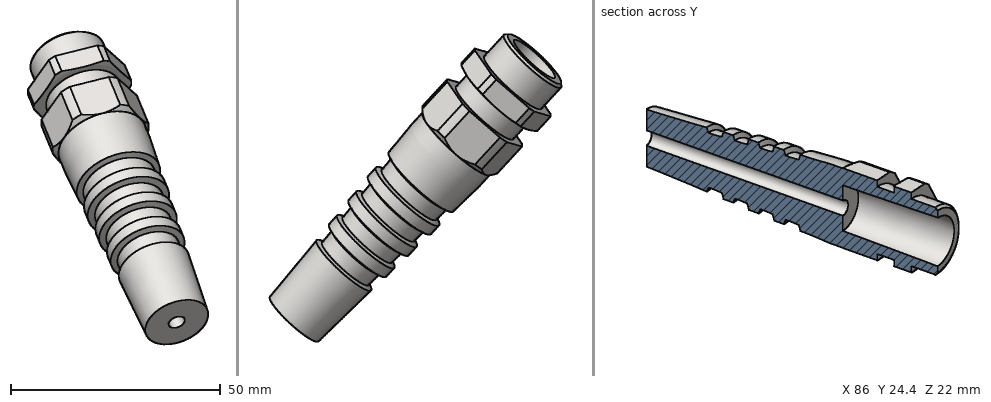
import cadquery as cq

length = 86.0

body_radius = 9.3
entry_chamfer = 0.7

collar_start = 7.7
collar_end = 13.0
collar_flats = 22.0
collar_corner_radius = 12.2
collar_bevel_length = 0.35

nut_start = 17.8
nut_end = 27.95
nut_flats = 22.0
nut_corner_radius = 12.0
nut_bevel_length = 1.2

shoulder_diameter = 21.9
shoulder_taper_start = 32.1
shoulder_end = 41.1
shoulder_end_radius = 10.5
flank_length = 0.5

rib_count = 3
first_rib_start = 44.9
rib_pitch = 7.5
rib_width = 3.95
first_rib_radius = 10.2
rib_radius_step = 0.47
first_groove_radius = 9.0
groove_radius_step = 0.4
groove_taper = 0.2

tail_start = 67.7
tail_start_radius = 8.9
tail_end_radius = 7.9

bore_mouth_radius = 6.6
bore_floor_radius = 6.2
bore_depth = nut_end
cable_hole_diameter = 4.0


def revolve_about_x(points):
    """Revolve an (x, radius) outline about the X axis."""
    return cq.Workplane("XY").polyline(points).close().revolve(360, (0, 0, 0), (1, 0, 0))


def hexagon(start, end, flats, corner_radius, bevel_length):
    """Hexagonal prism with turned corners and a bevel at its far end; flats face +Z and -Z."""
    corners_to_y = 30
    prism = (
        cq.Workplane("YZ")
        .workplane(offset=start)
        .polygon(6, flats, circumscribed=True)
        .extrude(end - start)
        .rotate((0, 0, 0), (1, 0, 0), corners_to_y)
    )
    turned_blank = revolve_about_x(
        [
            (start, 0),
            (start, corner_radius),
            (end - bevel_length, corner_radius),
            (end, flats / 2),
            (end, 0),
        ]
    )
    return prism.intersect(turned_blank)


def groove_points(index, start, end):
    """Slightly tapered groove floor, with index 0 nearest the nut."""
    radius = first_groove_radius - index * groove_radius_step
    return [(start, radius), (end, radius - groove_taper)]


def rib_points(index):
    """Flat top of a rib; its flanks slope down to the neighbouring grooves."""
    start = first_rib_start + index * rib_pitch
    end = start + rib_width
    radius = first_rib_radius - index * rib_radius_step
    return [
        (start + flank_length, radius),
        (end - flank_length, radius),
    ]


def sleeve_outline():
    """Outline of the shoulder, the ribs with their grooves, and the tail."""
    points = [
        (nut_end, 0),
        (nut_end, shoulder_diameter / 2),
        (shoulder_taper_start, shoulder_diameter / 2),
        (shoulder_end - flank_length, shoulder_end_radius),
    ]
    groove_start = shoulder_end
    for index in range(rib_count):
        rib_start = first_rib_start + index * rib_pitch
        points += groove_points(index, groove_start, rib_start)
        points += rib_points(index)
        groove_start = rib_start + rib_width
    points += groove_points(rib_count, groove_start, tail_start)
    points += [
        (tail_start + flank_length, tail_start_radius),
        (length, tail_end_radius),
        (length, 0),
    ]
    return points


body = cq.Workplane("YZ").circle(body_radius).extrude(nut_end).faces("<X").chamfer(entry_chamfer)
collar = hexagon(collar_start, collar_end, collar_flats, collar_corner_radius, collar_bevel_length)
nut = hexagon(nut_start, nut_end, nut_flats, nut_corner_radius, nut_bevel_length)
sleeve = revolve_about_x(sleeve_outline())

bore = revolve_about_x(
    [(0, 0), (0, bore_mouth_radius), (bore_depth, bore_floor_radius), (bore_depth, 0)]
)
cable_hole = cq.Workplane("YZ").circle(cable_hole_diameter / 2).extrude(length)

result = body.union(collar).union(nut).union(sleeve).cut(bore).cut(cable_hole)